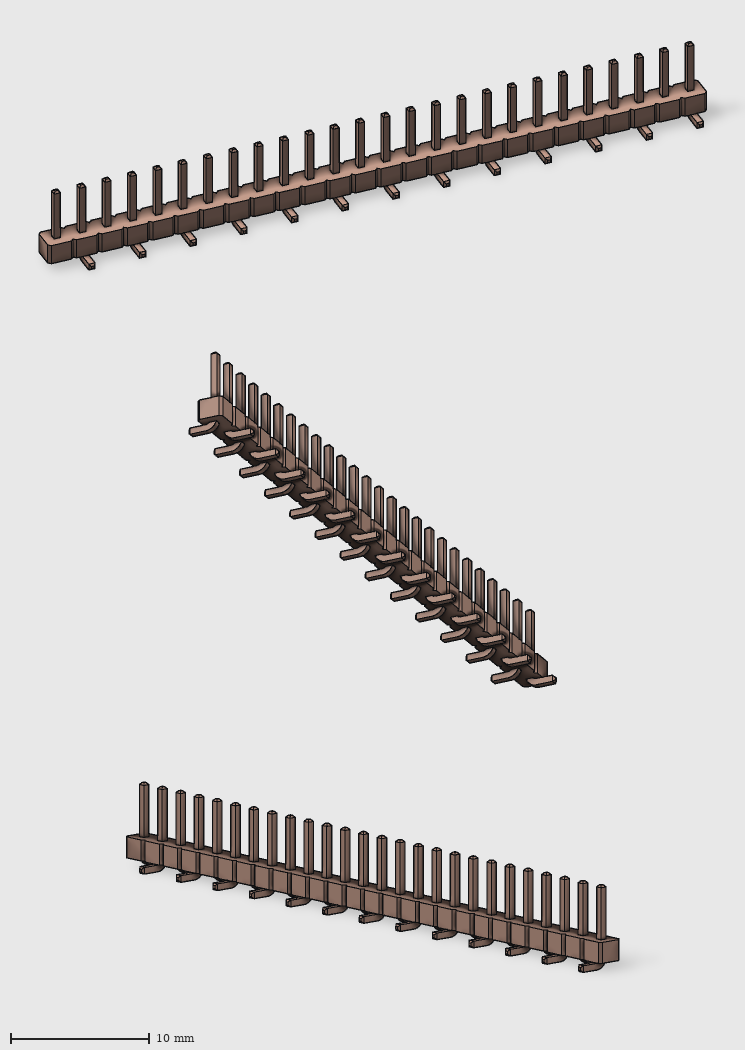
import cadquery as cq

pin_count = 26
strip_length = 52.0
strip_height = 1.55
standoff = 0.6
corner_chamfer = 0.2
overall_height = 6.2
foot_span = 4.2
pin_width = 0.5
tip_length = 0.15
tip_width = 0.2
inner_bend_radius = 0.4

pitch = strip_length / pin_count
strip_width = pitch
first_pin_y = (pitch - strip_length) / 2
foot_reach = foot_span / 2
half_pin = pin_width / 2
outer_bend_radius = inner_bend_radius + pin_width


def pin_y(index):
    """Y position of a pin, counted from the -Y end of the strip."""
    return first_pin_y + index * pitch


def make_housing_cell(y):
    """One chamfered block of the strip; neighbours form V notches on the sides."""
    return (
        cq.Workplane("XY")
        .box(strip_width, pitch, strip_height, centered=(True, True, False))
        .edges("|Z")
        .chamfer(corner_chamfer)
        .translate((0, y, standoff))
    )


def make_tip(base_plane):
    """Square tapered tip growing along the normal of the given plane."""
    return (
        cq.Workplane(base_plane)
        .rect(pin_width, pin_width)
        .workplane(offset=tip_length)
        .rect(tip_width, tip_width)
        .loft(ruled=True)
    )


def make_pin():
    """L-shaped square pin standing on Z with its foot pointing to -X."""
    shank_top = overall_height - tip_length
    foot_end = tip_length - foot_reach
    shank = (
        cq.Workplane("XY")
        .box(pin_width, pin_width, shank_top, centered=(True, True, False))
    )
    foot = (
        cq.Workplane("XY")
        .box(half_pin - foot_end, pin_width, pin_width, centered=(False, True, False))
        .translate((foot_end, 0, 0))
    )
    inner_corner = cq.selectors.NearestToPointSelector((-half_pin, 0, pin_width))
    bent_bar = (
        shank.union(foot)
        .edges(inner_corner)
        .fillet(inner_bend_radius)
        .edges("|Y and >X and <Z")
        .fillet(outer_bend_radius)
    )
    top_tip = make_tip(cq.Plane(origin=(0, 0, shank_top)))
    foot_tip = make_tip(cq.Plane(origin=(foot_end, 0, half_pin), xDir=(0, 1, 0), normal=(-1, 0, 0)))
    return bent_bar.union(top_tip).union(foot_tip)


left_pin = make_pin()
right_pin = left_pin.rotate((0, 0, 0), (0, 0, 1), 180)

bodies = []
for index in range(pin_count):
    y = pin_y(index)
    pin = left_pin if index % 2 == 0 else right_pin
    cell = make_housing_cell(y).union(pin.translate((0, y, 0)))
    bodies.append(cell.val())
result = cq.Workplane(bodies[0].fuse(*bodies[1:]).clean()).solids()